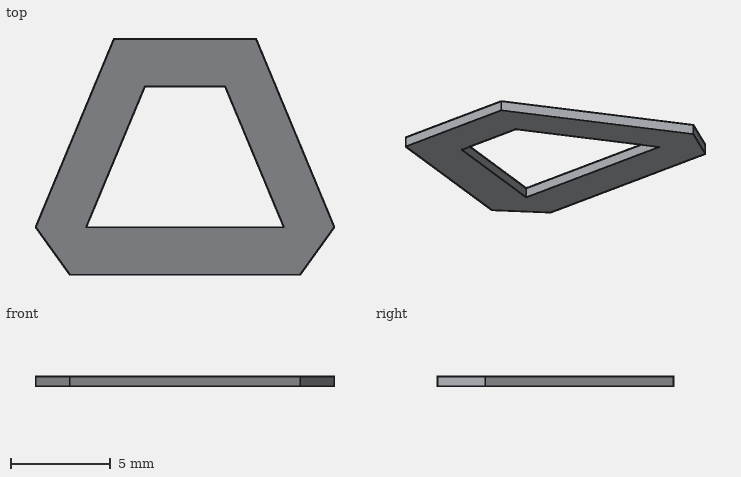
import cadquery as cq

overall_width = 14.99
overall_depth = 11.84
thickness = 0.5
top_edge_width = 7.14
bottom_edge_width = 11.54
rail_width = 2.4
window_top_width = 4.02
window_bottom_width = 9.9

plate_top = overall_depth / 2
plate_bottom = -plate_top
window_top = plate_top - rail_width
window_bottom = plate_bottom + rail_width
widest_level = window_bottom


def symmetric_prism(levels):
    """Extrude an outline mirrored about the Y axis from (full width, y) pairs, bottom to top."""
    right_side = [(width / 2, y) for width, y in levels]
    left_side = [(-x, y) for x, y in reversed(right_side)]
    outline = cq.Workplane("XY").polyline(right_side + left_side).close()
    return outline.extrude(thickness)


plate = symmetric_prism([
    (bottom_edge_width, plate_bottom),
    (overall_width, widest_level),
    (top_edge_width, plate_top),
])

window = symmetric_prism([
    (window_bottom_width, window_bottom),
    (window_top_width, window_top),
])

result = plate.cut(window)